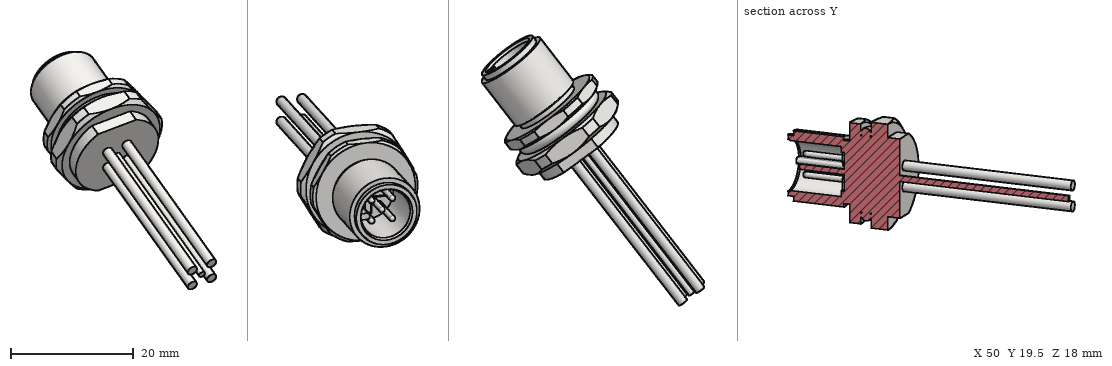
import cadquery as cq
import math

TOTAL_LENGTH = 50.0

TIP_RADIUS = 5.2
TIP_LENGTH = 1.0
SLEEVE_RADIUS = 6.0
SLEEVE_END = 10.0
NECK_RADIUS = 5.4

FRONT_NUT_START = 11.0
FRONT_NUT_END = 13.0
FRONT_NUT_FLATS = 17.0
FRONT_NUT_CORNER_RADIUS = 9.0
FRONT_NUT_CHAMFERS = (0.25, 0.4)
REAR_NUT_START = 14.85
REAR_NUT_END = 17.85
REAR_NUT_FLATS = 18.0
REAR_NUT_CORNER_RADIUS = 9.75
REAR_NUT_CHAMFERS = (0.5, 0.65)

RING_OUTER_RADIUS = 7.9
RING_SECTION_RADIUS = (REAR_NUT_START - FRONT_NUT_END) / 2
CORE_RADIUS = 6.5

FLANGE_END = 20.0
FLANGE_RADIUS = 7.6
FLANGE_FLATS = 13.5

BORE_RADIUS = 4.2
BORE_MOUTH_RADIUS = 4.45
BORE_MOUTH_DEPTH = 0.5
BORE_DEPTH = 9.5
CROSS_WIDTH = 1.1
CROSS_REACH = 3.25
CROSS_FILLET = 0.95
CROSS_DEPTH = 0.5
KEY_START = 0.25
KEY_INNER_RADIUS = 2.8

PIN_RADIUS = 0.5
PIN_CIRCLE_RADIUS = 2.5
PIN_OFFSET = PIN_CIRCLE_RADIUS / math.sqrt(2)
PIN_START = 2.0
WIRE_RADIUS = 0.85
CENTRE_WIRE_RADIUS = 0.55


def rod(radius, start, end, y=0.0, z=0.0):
    """Cylinder parallel to X between two stations."""
    return cq.Workplane("YZ", origin=(start, y, z)).circle(radius).extrude(end - start)


def chamfered_nut(start, end, flats, corner_radius, chamfers):
    """Hexagon trimmed by a turned envelope whose end faces just reach the flats."""
    front_chamfer, rear_chamfer = chamfers
    hexagon = (
        cq.Workplane("YZ", origin=(start, 0, 0))
        .polygon(6, flats / math.cos(math.pi / 6))
        .extrude(end - start)
    )
    face_radius = flats / 2
    envelope = (
        cq.Workplane("XY")
        .moveTo(start, 0)
        .lineTo(start, face_radius)
        .lineTo(start + front_chamfer, corner_radius)
        .lineTo(end - rear_chamfer, corner_radius)
        .lineTo(end, face_radius)
        .lineTo(end, 0)
        .close()
        .revolve(360, (0, 0, 0), (1, 0, 0))
    )
    return hexagon.intersect(envelope)


def sealing_ring():
    centre_x = (FRONT_NUT_END + REAR_NUT_START) / 2
    centre_radius = RING_OUTER_RADIUS - RING_SECTION_RADIUS
    return (
        cq.Workplane("XY")
        .center(centre_x, centre_radius)
        .circle(RING_SECTION_RADIUS)
        .revolve(360, (0, -centre_radius, 0), (1, -centre_radius, 0))
    )


def flange():
    length = FLANGE_END - REAR_NUT_END
    flats = (
        cq.Workplane("YZ", origin=(REAR_NUT_END, 0, 0))
        .rect(2 * FLANGE_RADIUS, FLANGE_FLATS)
        .extrude(length)
    )
    return rod(FLANGE_RADIUS, REAR_NUT_END, FLANGE_END).intersect(flats)


def socket_bore():
    """Blind bore with a conical lead-in at the mouth."""
    return (
        cq.Workplane("XY")
        .lineTo(0, BORE_MOUTH_RADIUS)
        .lineTo(BORE_MOUTH_DEPTH, BORE_RADIUS)
        .lineTo(BORE_DEPTH, BORE_RADIUS)
        .lineTo(BORE_DEPTH, 0)
        .close()
        .revolve(360, (0, 0, 0), (1, 0, 0))
    )


def cross_recess():
    """Cross-shaped recess in the bore floor, rounded at its inner corners."""
    base = cq.Workplane("YZ", origin=(BORE_DEPTH, 0, 0))
    upright = base.rect(CROSS_WIDTH, 2 * CROSS_REACH).extrude(CROSS_DEPTH)
    level = base.rect(2 * CROSS_REACH, CROSS_WIDTH).extrude(CROSS_DEPTH)
    inner_corners = cq.selectors.BoxSelector(
        (BORE_DEPTH, -CROSS_WIDTH, -CROSS_WIDTH),
        (BORE_DEPTH + CROSS_DEPTH, CROSS_WIDTH, CROSS_WIDTH),
    )
    return upright.union(level).edges("|X").edges(inner_corners).fillet(CROSS_FILLET)


def coding_key():
    """Round-nosed rib on the +Y side of the bore wall, running down to the bore floor."""
    wall_radius = (BORE_RADIUS + TIP_RADIUS) / 2
    half_width = CROSS_WIDTH / 2
    nose_centre = KEY_INNER_RADIUS + half_width
    return (
        cq.Workplane("YZ", origin=(KEY_START, 0, 0))
        .moveTo(wall_radius, half_width)
        .lineTo(nose_centre, half_width)
        .threePointArc((KEY_INNER_RADIUS, 0), (nose_centre, -half_width))
        .lineTo(wall_radius, -half_width)
        .close()
        .extrude(BORE_DEPTH + CROSS_DEPTH - KEY_START)
    )


def contact_pin(y, z):
    """Round pin with a domed tip, rooted in the insert."""
    pin = rod(PIN_RADIUS, PIN_START + PIN_RADIUS, FRONT_NUT_START, y, z)
    dome = cq.Workplane("XY").sphere(PIN_RADIUS).translate((PIN_START + PIN_RADIUS, y, z))
    return pin.union(dome)


body = rod(TIP_RADIUS, 0, TIP_LENGTH)
body = body.union(rod(SLEEVE_RADIUS, TIP_LENGTH, SLEEVE_END))
body = body.union(rod(NECK_RADIUS, SLEEVE_END, FRONT_NUT_START))
body = body.union(
    chamfered_nut(
        FRONT_NUT_START, FRONT_NUT_END, FRONT_NUT_FLATS, FRONT_NUT_CORNER_RADIUS, FRONT_NUT_CHAMFERS
    )
)
body = body.union(rod(CORE_RADIUS, FRONT_NUT_END, REAR_NUT_START))
body = body.union(sealing_ring())
body = body.union(
    chamfered_nut(
        REAR_NUT_START, REAR_NUT_END, REAR_NUT_FLATS, REAR_NUT_CORNER_RADIUS, REAR_NUT_CHAMFERS
    )
)
body = body.union(flange())
body = body.cut(socket_bore())
body = body.cut(cross_recess())
body = body.union(coding_key())

body = body.union(contact_pin(0, 0))
body = body.union(rod(CENTRE_WIRE_RADIUS, FLANGE_END, TOTAL_LENGTH))

for y in (-PIN_OFFSET, PIN_OFFSET):
    for z in (-PIN_OFFSET, PIN_OFFSET):
        body = body.union(contact_pin(y, z))
        body = body.union(rod(WIRE_RADIUS, FLANGE_END, TOTAL_LENGTH, y, z))

result = body